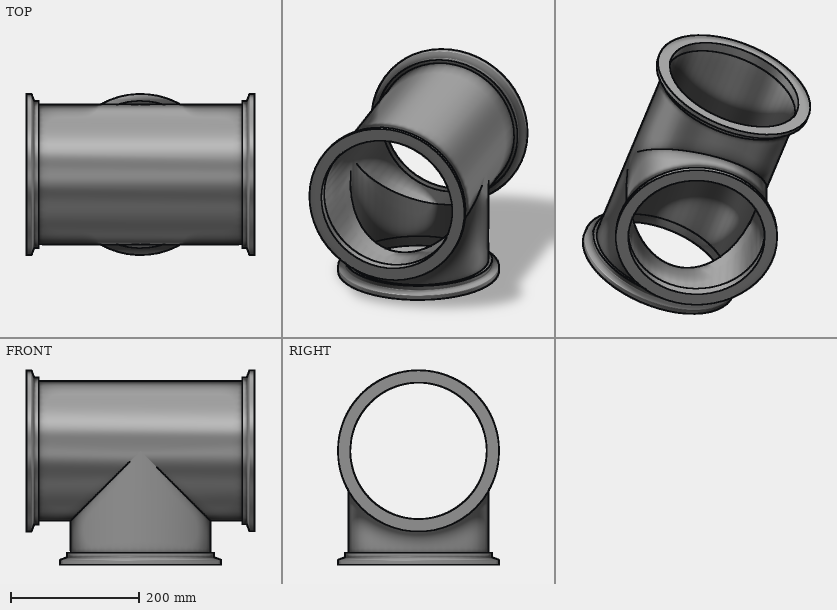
import cadquery as cq
import math

run_length = 356.0
end_reach = run_length / 2
tube_diameter = 219.0
bore_diameter = 213.0

ferrule_length = 19.2
socket_floor = 16.0
hub_diameter = 230.0
rim_diameter = 252.0
rim_width = 6.8
rim_fillet = 1.8
root_fillet = 1.5
cone_angle = math.radians(20)

tube_reach = end_reach - socket_floor


def make_run_cylinder(diameter, length):
    """Cylinder along X, centred on the origin."""
    return cq.Workplane("YZ").circle(diameter / 2).extrude(length / 2, both=True)


def make_branch_cylinder(diameter, length):
    """Cylinder from the origin down along -Z."""
    return cq.Workplane("XY").circle(diameter / 2).extrude(-length)


def make_tee():
    """Tube tee with the run and the branch bored through to each other."""
    outside = make_run_cylinder(tube_diameter, 2 * tube_reach).union(
        make_branch_cylinder(tube_diameter, tube_reach)
    )
    run_bore = make_run_cylinder(bore_diameter, 2 * tube_reach)
    branch_bore = make_branch_cylinder(bore_diameter, tube_reach)
    return outside.cut(run_bore).cut(branch_bore)


def make_ferrule():
    """Clamp ferrule at the lower end of the branch, revolved about Z."""
    bore_radius = bore_diameter / 2
    socket_radius = tube_diameter / 2
    hub_radius = hub_diameter / 2
    rim_radius = rim_diameter / 2

    fillet_centre = rim_radius - rim_fillet
    turn = math.pi / 2 - cone_angle
    fillet_middle = (
        fillet_centre + rim_fillet * math.cos(turn / 2),
        rim_width + rim_fillet * math.sin(turn / 2),
    )
    cone_start = (
        fillet_centre + rim_fillet * math.cos(turn),
        rim_width + rim_fillet * math.sin(turn),
    )

    root_centre = hub_radius + root_fillet
    cone_end_radius = root_centre - root_fillet * math.cos(turn)
    cone_rise = (cone_start[0] - cone_end_radius) * math.tan(cone_angle)
    cone_end = (cone_end_radius, cone_start[1] + cone_rise)
    root_top = cone_end[1] + root_fillet * math.sin(turn)
    root_middle = (
        root_centre - root_fillet * math.cos(turn / 2),
        root_top - root_fillet * math.sin(turn / 2),
    )

    ferrule = (
        cq.Workplane("XZ")
        .moveTo(bore_radius, 0)
        .lineTo(rim_radius, 0)
        .lineTo(rim_radius, rim_width)
        .threePointArc(fillet_middle, cone_start)
        .lineTo(*cone_end)
        .threePointArc(root_middle, (hub_radius, root_top))
        .lineTo(hub_radius, ferrule_length)
        .lineTo(socket_radius, ferrule_length)
        .lineTo(socket_radius, socket_floor)
        .lineTo(bore_radius, socket_floor)
        .close()
        .revolve(360, (0, 0, 0), (0, 1, 0))
    )
    return ferrule.translate((0, 0, -end_reach))


def place_ferrules():
    """One ferrule on the branch and one on each end of the run."""
    ferrules = []
    for turn_about_y in (0, 90, -90):
        ferrule = make_ferrule().rotate((0, 0, 0), (0, 1, 0), turn_about_y)
        ferrules.append(ferrule.val())
    return ferrules


tee = make_tee()
ferrules = place_ferrules()

result = cq.Compound.makeCompound([tee.val(), *ferrules])